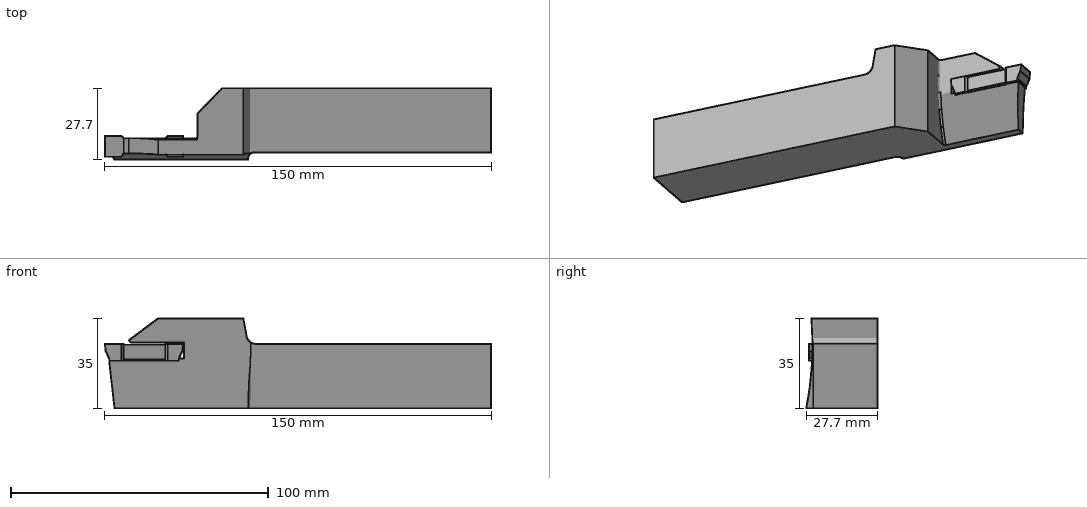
import cadquery as cq
import math

total_length = 150.0
shank_size = 25.0
shank_start = 57.9

head_height = 35.0
toe_x = 3.8
nose_x = 9.3
nose_z = 26.4
nose_bottom_x = 10.2
jaw_top_x = 20.7
head_top_end = 53.8
head_foot_x = 55.6
head_fillet = 3.5

seat_z = 18.5
seat_front_x = 1.6
seat_end_x = 28.8
pocket_step_z = 19.4
pocket_end_x = 30.8
jaw_bottom_z = 25.5

front_crest_y = -0.3
front_crest_z = 24.0
front_radius = 120.0
back_crest_y = 5.62
back_crest_z = 25.0
back_radius = 72.0

block_start = 36.0
block_corner_y = 15.2
block_chamfer_x = 45.6
block_root_fillet = 0.8
relief_radius = 2.2

insert_top_z = shank_size
insert_end_x = 30.5
insert_y_min = -1.6
insert_y_max = 6.5
tip_bevel_z = 22.2
tip_land_offset = 0.3
waist_start = 6.5
waist_start_full = 7.4
waist_end_full = 23.5
waist_end = 24.5
waist_top_drop = 0.3
waist_bottom_chamfer = 0.6

margin = 7.5


def arc_y(crest_y, crest_z, radius, z):
    """Y of a face whose cross-section is an arc with its largest Y at the crest."""
    return crest_y - radius + math.sqrt(radius**2 - (z - crest_z) ** 2)


def front_y(z):
    """Y of the concave front face, curving toward -Y away from its crest."""
    return arc_y(front_crest_y, front_crest_z, front_radius, z)


def back_y(z):
    """Y of the convex back face of the blade."""
    return arc_y(back_crest_y, back_crest_z, back_radius, z)


def make_side_outline():
    """Holder outline in XZ, including the pocket, extruded through its full width."""
    outline = (
        cq.Workplane("XZ", origin=(0, shank_size, 0))
        .moveTo(toe_x, 0)
        .lineTo(total_length, 0)
        .lineTo(total_length, shank_size)
        .lineTo(head_foot_x, shank_size)
        .lineTo(head_top_end, head_height)
        .lineTo(jaw_top_x, head_height)
        .lineTo(nose_x, nose_z)
        .lineTo(nose_bottom_x, jaw_bottom_z)
        .lineTo(pocket_end_x, jaw_bottom_z)
        .lineTo(pocket_end_x, pocket_step_z)
        .lineTo(seat_end_x, pocket_step_z)
        .lineTo(seat_end_x, seat_z)
        .lineTo(seat_front_x, seat_z)
        .close()
        .extrude(shank_size + margin)
    )
    foot = (head_foot_x, 0, shank_size)
    return outline.edges(cq.selectors.NearestToPointSelector(foot)).edges("|Y").fillet(head_fillet)


def make_blade():
    """Thin curved blade that carries the insert."""
    middle_z = head_height / 2
    return (
        cq.Workplane("YZ")
        .moveTo(front_y(0), 0)
        .lineTo(back_y(0), 0)
        .threePointArc((back_y(middle_z), middle_z), (back_y(head_height), head_height))
        .lineTo(front_y(head_height), head_height)
        .threePointArc((front_y(middle_z), middle_z), (front_y(0), 0))
        .close()
        .extrude(block_start)
    )


def make_block():
    """Full-width head block with a bevelled back corner and a curved front face."""
    middle_z = head_height / 2
    block = (
        cq.Workplane("YZ", origin=(block_start, 0, 0))
        .moveTo(front_y(0), 0)
        .lineTo(shank_size, 0)
        .lineTo(shank_size, head_height)
        .lineTo(front_y(head_height), head_height)
        .threePointArc((front_y(middle_z), middle_z), (front_y(0), 0))
        .close()
        .extrude(shank_start - block_start)
    )
    corner = (
        cq.Workplane("XY")
        .polyline([(block_start, block_corner_y), (block_chamfer_x, shank_size), (block_start, shank_size)])
        .close()
        .extrude(head_height)
    )
    return block.cut(corner)


def make_shank_relief():
    """Concave round where the front of the head runs out into the shank face."""
    relief_start = shank_start - relief_radius
    diagonal = relief_radius * math.sqrt(0.5)
    return (
        cq.Workplane("XY")
        .moveTo(relief_start, -margin)
        .lineTo(relief_start, -relief_radius)
        .threePointArc((shank_start - diagonal, diagonal - relief_radius), (shank_start, 0))
        .lineTo(shank_start, -margin)
        .close()
        .extrude(head_height)
    )


def make_holder():
    shank = cq.Workplane("XY").box(
        total_length - shank_start, shank_size, head_height, centered=False
    ).translate((shank_start, 0, 0))
    head = make_blade().union(make_block())
    root = (block_start, back_y(head_height / 2), head_height / 2)
    head = head.edges(cq.selectors.NearestToPointSelector(root)).fillet(block_root_fillet)
    head = head.cut(make_shank_relief())
    return head.union(shank).intersect(make_side_outline())


def waist_cutter(face_y, outer_y):
    """Side recess of the insert, with sloped ends, from outer_y in to face_y."""
    return (
        cq.Workplane("XY")
        .polyline([
            (waist_start, outer_y),
            (waist_start_full, face_y),
            (waist_end_full, face_y),
            (waist_end, outer_y),
        ])
        .close()
        .extrude(head_height)
    )


def make_insert():
    """Double-ended cutting insert with bevelled ends and a narrow waist."""
    insert = (
        cq.Workplane("XZ", origin=(0, insert_y_max, 0))
        .polyline([
            (0, insert_top_z),
            (tip_land_offset, tip_bevel_z),
            (seat_front_x, pocket_step_z),
            (seat_front_x, seat_z),
            (seat_end_x, seat_z),
            (seat_end_x, pocket_step_z),
            (insert_end_x - tip_land_offset, tip_bevel_z),
            (insert_end_x, insert_top_z),
        ])
        .close()
        .extrude(insert_y_max - insert_y_min)
    )
    for face_y, outer_y in ((front_crest_y, insert_y_min), (back_crest_y, insert_y_max)):
        insert = insert.cut(waist_cutter(face_y, outer_y))
        inward = math.copysign(waist_bottom_chamfer, face_y - outer_y)
        bevel = (
            cq.Workplane("YZ", origin=(waist_start_full, 0, 0))
            .polyline([
                (face_y, seat_z),
                (face_y + inward, seat_z),
                (face_y, seat_z + waist_bottom_chamfer),
            ])
            .close()
            .extrude(waist_end_full - waist_start_full)
        )
        insert = insert.cut(bevel)
    top_recess = cq.Workplane("XY").box(
        waist_end_full - waist_start_full,
        insert_y_max - insert_y_min,
        waist_top_drop,
        centered=False,
    ).translate((waist_start_full, insert_y_min, insert_top_z - waist_top_drop))
    return insert.cut(top_recess)


holder = make_holder()
insert = make_insert()
result = cq.Compound.makeCompound([holder.val(), insert.val()])